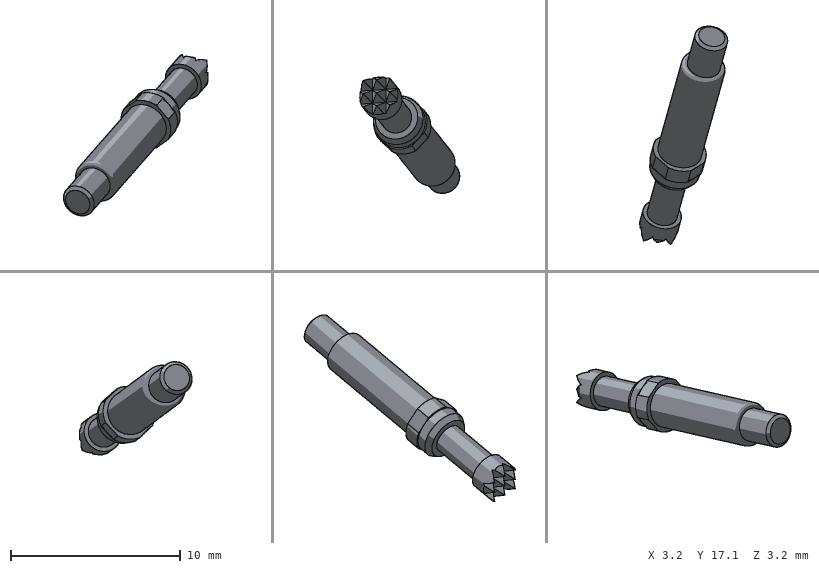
import cadquery as cq
import math

total_length = 17.1

tail_radius = 1.0
tail_length = 2.5
tail_chamfer_length = 0.15
tail_chamfer_depth = 0.2

barrel_radius = 1.32
barrel_length = 7.5
barrel_round = 0.2

collar_width = 3.2
collar_length = 1.0
neck_radius = 1.5
flat_count = 4

neck_length = 1.0
taper_length = 0.38
taper_depth = 0.22

plunger_radius = 0.9
head_radius = 1.16
head_length = 1.6
tooth_pitch = 0.8
teeth_per_row = 3
tooth_angle = 60.0

barrel_start = tail_length
collar_start = barrel_start + barrel_length
neck_start = collar_start + collar_length
neck_end = neck_start + neck_length
head_start = total_length - head_length


def cylinder(radius, start, end):
    """Solid cylinder about the Y axis between two stations."""
    return cq.Workplane("XZ", origin=(0, start, 0)).circle(radius).extrude(start - end)


def make_collar():
    """Disc with flats on its diagonals, each tangent to the neck cylinder."""
    disc = cylinder(collar_width / 2, collar_start, neck_start)
    flat_block = cq.Workplane("XY").box(2 * neck_radius, collar_length, 2 * neck_radius)
    flat_block = flat_block.translate((0, collar_start + collar_length / 2, 0))
    return disc.intersect(flat_block.rotate((0, 0, 0), (0, 1, 0), 180 / flat_count))


def make_neck():
    """Cylinder narrowing to a taper at its plunger end."""
    return (
        cylinder(neck_radius, neck_start, neck_end)
        .faces(">Y")
        .chamfer(taper_length, taper_depth)
    )


def tooth_ridges():
    """Row of triangular ridges along Z, standing on a full-width base."""
    tooth_height = tooth_pitch / 2 / math.tan(math.radians(tooth_angle / 2))
    half_row = teeth_per_row * tooth_pitch / 2
    points = [(-half_row, head_start), (-half_row, total_length - tooth_height)]
    for i in range(teeth_per_row):
        valley = -half_row + i * tooth_pitch
        points.append((valley + tooth_pitch / 2, total_length))
        points.append((valley + tooth_pitch, total_length - tooth_height))
    points.append((half_row, head_start))
    return cq.Workplane("XY").polyline(points).close().extrude(half_row, both=True)


def make_head():
    """Round head cut by two crossing sets of V grooves into a grid of pyramid teeth."""
    ridges = tooth_ridges()
    crossing_ridges = ridges.rotate((0, 0, 0), (0, 1, 0), 90)
    head = cylinder(head_radius, head_start, total_length)
    return head.intersect(ridges).intersect(crossing_ridges)


tail = cylinder(tail_radius, 0, barrel_start)
tail = tail.faces("<Y").chamfer(tail_chamfer_length, tail_chamfer_depth)
barrel = cylinder(barrel_radius, barrel_start, collar_start).edges("<Y").fillet(barrel_round)
plunger = cylinder(plunger_radius, neck_end, head_start)

result = (
    tail.union(barrel)
    .union(make_collar())
    .union(make_neck())
    .union(plunger)
    .union(make_head())
)